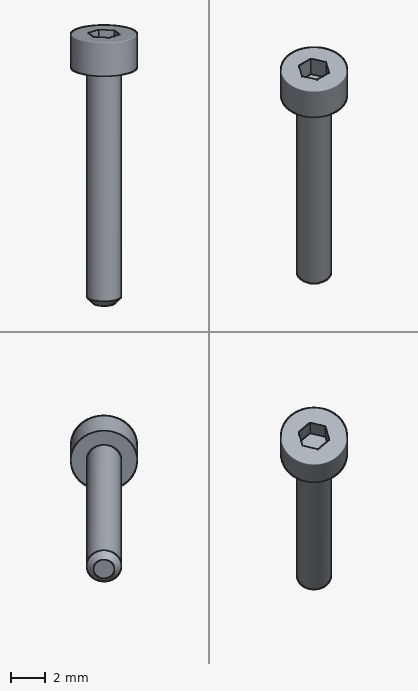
import cadquery as cq

total_length = 16.0
head_diameter = 3.8
head_height = 2.0
shank_diameter = 2.0

head_edge_radius = 0.03
tip_chamfer = 0.4

socket_sides = 6
socket_across_flats = 1.58
socket_depth = 1.2

head_base = total_length - head_height


def make_cylinder(diameter, bottom, height):
    """Cylinder on the screw axis, rising from the given Z."""
    return cq.Workplane("XY", origin=(0, 0, bottom)).circle(diameter / 2).extrude(height)


def make_shank():
    """Shank with a chamfered tip."""
    shank = make_cylinder(shank_diameter, 0, head_base)
    return shank.faces("<Z").chamfer(tip_chamfer)


def make_head():
    """Cylindrical head with a slightly rounded top edge."""
    head = make_cylinder(head_diameter, head_base, head_height)
    return head.faces(">Z").edges().fillet(head_edge_radius)


def make_socket():
    """Blind hexagonal recess with two opposite corners along X."""
    return (
        cq.Workplane("XY", origin=(0, 0, total_length - socket_depth))
        .polygon(socket_sides, socket_across_flats, circumscribed=True)
        .extrude(socket_depth)
        .rotate((0, 0, 0), (0, 0, 1), 180 / socket_sides)
    )


result = make_shank().union(make_head()).cut(make_socket())